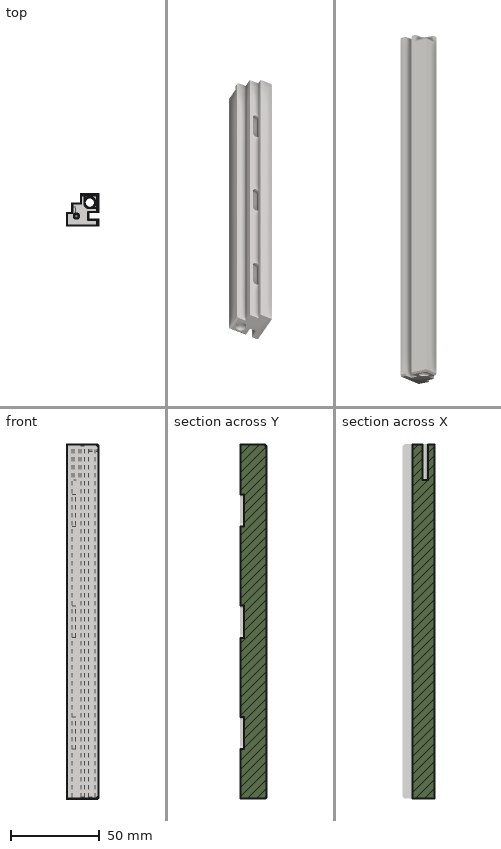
import cadquery as cq

width = 18.0
depth = 18.0
length = 200.0

upper_step_x = 8.0
lower_step_x = 3.0
upper_step_y = 12.5
lower_step_y = 7.2

groove_floor_x = 12.2
groove_bottom_y = 3.5
groove_top_y = 7.5

bore_diameter = 6.0
bore_inset = 5.0
pin_diameter = 2.8
pin_x = 5.5
pin_y = 5.5
pin_depth = 20.0

recess_depth = 3.0

slot_count = 3
slot_pitch = 62.8
slot_length = 18.0
slot_width = 3.5
slot_depth = 2.0
slot_undercut = 0.5

end_chamfer = 1.0


def stepped_bar():
    outline = [
        (0, 0),
        (width, 0),
        (width, groove_bottom_y),
        (groove_floor_x, groove_bottom_y),
        (groove_floor_x, groove_top_y),
        (width, groove_top_y),
        (width, depth),
        (upper_step_x, depth),
        (upper_step_x, upper_step_y),
        (lower_step_x, upper_step_y),
        (lower_step_x, lower_step_y),
        (0, lower_step_y),
    ]
    return cq.Workplane("XY").polyline(outline).close().extrude(length)


def corner_recess():
    side = bore_inset + bore_diameter / 2
    recess = cq.Workplane("XY").box(side, side, recess_depth, centered=False)
    recess = recess.edges("|Z and <X and <Y").fillet(bore_diameter / 2)
    return recess.translate((width - side, depth - side, length - recess_depth))


def chamfer_ends(bar):
    x_face_edges = bar.faces(">X").edges("|Y")
    y_face_edges = bar.faces(">Y").edges("|X")
    return x_face_edges.add(y_face_edges).chamfer(end_chamfer)


def vertical_hole(x, y, diameter, hole_depth):
    hole = cq.Workplane("XY").circle(diameter / 2).extrude(-hole_depth)
    return hole.translate((x, y, length))


def wall_slot(z):
    slot = cq.Workplane("YZ").slot2D(slot_length, slot_width, 90).extrude(slot_depth)
    return slot.translate((lower_step_x, lower_step_y - slot_undercut + slot_width / 2, z))


bore_x = width - bore_inset
bore_y = depth - bore_inset

result = chamfer_ends(stepped_bar().cut(corner_recess()))
result = result.cut(vertical_hole(bore_x, bore_y, bore_diameter, length))
result = result.cut(vertical_hole(pin_x, pin_y, pin_diameter, pin_depth))

for index in range(slot_count):
    slot_z = length / 2 + (index - (slot_count - 1) / 2) * slot_pitch
    result = result.cut(wall_slot(slot_z))